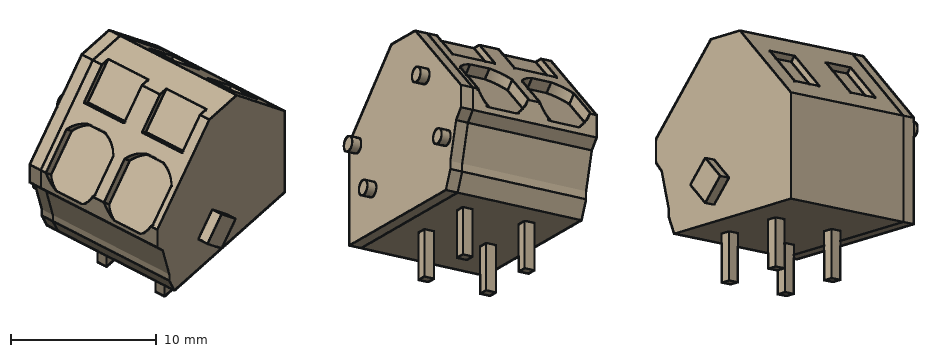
import cadquery as cq
import math


plate_thickness = 0.95
block_width = 10.98
block_depth = 14.5
block_height = 13.0

front_slope_drop = 5.92
rear_slope_drop = 5.47
front_face_bottom = 5.44
undercut_y = 0.63
undercut_z = 4.7
foot_y = 1.37
foot_top = 1.93
foot_bottom = 1.35
base_front_y = 1.96

ridge_front_y = front_slope_drop
ridge_rear_y = block_depth - rear_slope_drop

terminal_pitch = 5.0
first_terminal_x = 3.46
terminal_xs = [first_terminal_x, first_terminal_x + terminal_pitch]

front_window_width = 3.45
front_window_floor_shift = 0.73
front_window_length = 2.05
front_window_wall_run = 0.45
front_window_floor_y = ridge_front_y - front_window_length + front_window_wall_run

rear_window_width = 2.21
rear_window_depth = 0.51
rear_window_low_y = 13.2
rear_window_high_y = 10.53

entry_width = 4.12
entry_depth = 0.84
entry_top_z = 10.12
entry_radius = 2.37
entry_slot_start = 2.24
entry_slot_spacing = 0.79
entry_slot_shift = -0.05

key_length = 0.79
key_half_diagonal = 1.6
key_y = 6.26
key_z = 2.8

peg_diameter = 1.1
peg_length = 0.73
peg_centres = [(4.63, 9.21), (13.48, 7.0), (11.52, 3.15), (1.9, 3.79)]

pin_width = 0.79
pin_length = 3.48
first_pin_x = 3.11
first_pin_y = 4.5
pin_pitch = 5.0

root_two = math.sqrt(2)
clearance = 1.65


def profile_slab(start_x, end_x):
    """The block's side profile, extruded from start_x to end_x."""
    outline = [
        (block_depth, 0),
        (block_depth, block_height - rear_slope_drop),
        (ridge_rear_y, block_height),
        (ridge_front_y, block_height),
        (0, block_height - front_slope_drop),
        (0, front_face_bottom),
        (undercut_y, undercut_z),
        (foot_y, foot_top),
        (foot_y, foot_bottom),
        (base_front_y, 0),
    ]
    return cq.Workplane("YZ", origin=(start_x, 0, 0)).polyline(outline).close().extrude(end_x - start_x)


def slope_plane(x, y, z, facing_y):
    """Plane on a 45 degree slope that faces up and along facing_y (-1 front, +1 rear)."""
    return cq.Plane(origin=(x, y, z), xDir=(1, 0, 0), normal=(0, facing_y, 1))


def front_window_cutter(x):
    """Notch with a floor parallel to the slope and a flatter lower end wall."""
    floor_rear_y = ridge_front_y + front_window_floor_shift
    lip_y = ridge_front_y - front_window_length
    profile = [
        (floor_rear_y, block_height),
        (front_window_floor_y, block_height - (floor_rear_y - front_window_floor_y)),
        (lip_y, block_height - front_window_length),
        (lip_y, block_height + clearance),
        (floor_rear_y, block_height + clearance),
    ]
    start_x = x - front_window_width / 2
    return cq.Workplane("YZ", origin=(start_x, 0, 0)).polyline(profile).close().extrude(front_window_width)


def rear_window_cutter(x):
    """Rectangular recess square to the rear slope."""
    middle_y = (rear_window_low_y + rear_window_high_y) / 2
    middle_z = block_height - (middle_y - ridge_rear_y)
    length = (rear_window_low_y - rear_window_high_y) * root_two
    return (
        cq.Workplane(slope_plane(x, middle_y, middle_z, 1))
        .workplane(offset=-rear_window_depth)
        .rect(rear_window_width, length)
        .extrude(rear_window_depth + clearance)
    )


def entry_cutter(x):
    """Wire entry: flat top and sides with rounded corners, running out through the front face."""
    top_y = ridge_front_y - (block_height - entry_top_z)
    floor = cq.Workplane(slope_plane(x, top_y, entry_top_z, -1)).workplane(offset=-entry_depth)
    height = entry_depth + clearance
    slot_length = entry_slot_spacing + 2 * entry_radius
    slot_centre = entry_slot_start + entry_slot_spacing / 2
    slot = (
        floor.center(entry_slot_shift, -slot_centre)
        .slot2D(slot_length, 2 * entry_radius, 90)
        .extrude(height)
    )
    trim_length = slot_centre + slot_length / 2
    trim = floor.center(0, -trim_length / 2).rect(entry_width, trim_length).extrude(height)
    return slot.intersect(trim)


def make_housing():
    body = profile_slab(plate_thickness, block_width)
    for x in terminal_xs:
        body = body.cut(front_window_cutter(x))
        body = body.cut(rear_window_cutter(x))
        body = body.cut(entry_cutter(x))
    key = (
        cq.Workplane("YZ", origin=(block_width, key_y, key_z))
        .polygon(4, 2 * key_half_diagonal)
        .extrude(key_length)
    )
    return body.union(key)


def make_end_plate():
    pegs = cq.Workplane("YZ").pushPoints(peg_centres).circle(peg_diameter / 2).extrude(-peg_length)
    return profile_slab(0, plate_thickness).union(pegs)


def make_pin(x, y):
    return cq.Workplane("XY", origin=(x, y, 0)).rect(pin_width, pin_width).extrude(-pin_length)


housing = make_housing()
end_plate = make_end_plate()
pins = []
for column in range(2):
    for row in range(2):
        pins.append(make_pin(first_pin_x + column * pin_pitch, first_pin_y + row * pin_pitch))

result = cq.Compound.makeCompound([housing.val(), end_plate.val(), *[pin.val() for pin in pins]])